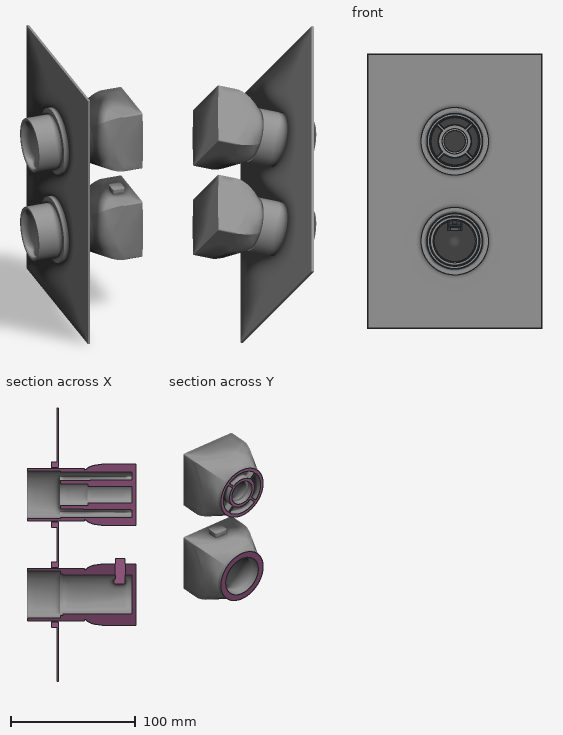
import cadquery as cq
import math


PLATE_WIDTH = 140.0
PLATE_HEIGHT = 220.0
PLATE_THICKNESS = 2.0
COLLAR_RADIUS = 27.0
COLLAR_THICKNESS = 4.2
COLLAR_FRONT_Y = 19.4
COLLAR_CLEARANCE = 0.5
PLATE_FRONT_Y = COLLAR_FRONT_Y + COLLAR_THICKNESS

HANDLE_SPACING = 80.0
UPPER_Z = HANDLE_SPACING / 2
LOWER_Z = -HANDLE_SPACING / 2
TUBE_RADIUS = 22.0
TUBE_LENGTH = 46.2
BORE_RADIUS = 19.5
MOUTH_CHAMFER = 0.7
HEAD_SIDE = 50.0
HEAD_CORNER_RADIUS = 1.0
HANDLE_LENGTH = 87.5
HEAD_CROWN = 0.2
END_WALL = 3.5
CAVITY_END_Y = HANDLE_LENGTH - END_WALL

SHOULDER_LENGTH = 28.4
NECK_RADIUS = 20.7
SHOULDER_SECTIONS = 11
SIDE_BULGE = 0.05
FLAT_SHARE = 0.41
CORNER_POWER = 2
SIDE_POWER = 6

HUB_RADIUS = 13.0
HUB_DRAFT = 0.5
HUB_BORE_RADIUS = 10.1
HUB_HOLE_RADIUS = 8.5
HUB_BORE_DEPTH = 22.0
HUB_FRONT_Y = 26.5
HUB_CAVITY_RADIUS = 19.0
RIB_FRONT_WIDTH = 1.8
RIB_BACK_WIDTH = 2.6
RIB_COUNT = 4
RIB_START_ANGLE = 45

STEP_Y = 26.5
STEP_RADIUS = 17.4
CAVITY_RADIUS = 16.5
STEP_LENGTH = 2.2

BUTTON_WIDTH = 11.5
BUTTON_LENGTH = 10.1
BUTTON_FRONT_Y = 69.5
BUTTON_CHAMFER = 1.0
BUTTON_BOTTOM = 8.4
BUTTON_RISE = 4.2
BUTTON_HEIGHT = HEAD_SIDE / 2 + BUTTON_RISE - BUTTON_BOTTOM
FOOT_REACH = 1.3
FOOT_HEIGHT = 4.5
FOOT_NOTCH_WIDTH = 7.0
FOOT_NOTCH_HEIGHT = 2.5
WINDOW_WIDTH = 4.0
WINDOW_HEIGHT = 3.5
WINDOW_RISE = 5.5
WINDOW_DEPTH = 2.2


def cylinder(radius, start_y, end_y):
    """Solid cylinder on the Y axis."""
    return cq.Workplane("XZ", origin=(0, start_y, 0)).circle(radius).extrude(start_y - end_y)


def square_prism(start_y, end_y):
    """Square bar on the Y axis with rounded long edges."""
    bar = cq.Workplane("XZ", origin=(0, start_y, 0)).rect(HEAD_SIDE, HEAD_SIDE).extrude(start_y - end_y)
    return bar.edges("|Y").fillet(HEAD_CORNER_RADIUS)


def shoulder_section(share):
    """Four-arc outline of the shoulder: share 0 is at the square head, 1 at the round neck."""
    neck_corner = NECK_RADIUS * math.sqrt(0.5)
    corner_drop = HEAD_SIDE / 2 - neck_corner
    corner = HEAD_SIDE / 2 - corner_drop * share**CORNER_POWER
    bulge = max(0, SIDE_BULGE + corner_drop * share * (FLAT_SHARE - share))
    middle = HEAD_SIDE / 2 + bulge - (HEAD_SIDE / 2 - NECK_RADIUS) * share**SIDE_POWER
    y = TUBE_LENGTH + SHOULDER_LENGTH * (1 - share)
    outline = (
        cq.Workplane("XZ", origin=(0, y, 0))
        .moveTo(corner, -corner)
        .threePointArc((middle, 0), (corner, corner))
        .threePointArc((0, middle), (-corner, corner))
        .threePointArc((-middle, 0), (-corner, -corner))
        .threePointArc((0, -middle), (corner, -corner))
        .close()
    )
    return outline.val()


def make_shoulder():
    shares = [1 - index / (SHOULDER_SECTIONS - 1) for index in range(SHOULDER_SECTIONS)]
    loft = cq.Workplane(cq.Solid.makeLoft([shoulder_section(share) for share in shares]))
    return loft.intersect(square_prism(TUBE_LENGTH, TUBE_LENGTH + SHOULDER_LENGTH))


def make_head():
    """Square head whose end face is curved about an axis along X."""
    start_y = TUBE_LENGTH + SHOULDER_LENGTH
    edge_y = HANDLE_LENGTH - HEAD_CROWN
    half = HEAD_SIDE / 2
    crowned = (
        cq.Workplane("YZ")
        .moveTo(start_y, -half)
        .lineTo(edge_y, -half)
        .threePointArc((HANDLE_LENGTH, 0), (edge_y, half))
        .lineTo(start_y, half)
        .close()
        .extrude(half, both=True)
    )
    return crowned.intersect(square_prism(start_y, HANDLE_LENGTH))


def make_handle_blank():
    """Handle on the Y axis without its cavity."""
    tube = cylinder(TUBE_RADIUS, 0, TUBE_LENGTH)
    return tube.union(make_shoulder()).union(make_head())


def make_rib():
    """Rib along +X from the axis to the cavity wall, thicker towards the closed end."""
    length = CAVITY_END_Y - HUB_FRONT_Y
    return (
        cq.Workplane("YZ", origin=(0, HUB_FRONT_Y, 0))
        .moveTo(0, -RIB_FRONT_WIDTH / 2)
        .lineTo(length, -RIB_BACK_WIDTH / 2)
        .lineTo(length, RIB_BACK_WIDTH / 2)
        .lineTo(0, RIB_FRONT_WIDTH / 2)
        .close()
        .extrude(HUB_CAVITY_RADIUS)
    )


def make_hub():
    """Hollow drafted hub carried by radial ribs."""
    hub = (
        cq.Workplane("XZ", origin=(0, HUB_FRONT_Y, 0))
        .circle(HUB_RADIUS)
        .extrude(HUB_FRONT_Y - CAVITY_END_Y, taper=-HUB_DRAFT)
    )
    rib = make_rib()
    for index in range(RIB_COUNT):
        angle = RIB_START_ANGLE + index * 360 / RIB_COUNT
        hub = hub.union(rib.rotate((0, 0, 0), (0, 1, 0), angle))
    hub = hub.cut(cylinder(HUB_BORE_RADIUS, HUB_FRONT_Y, HUB_FRONT_Y + HUB_BORE_DEPTH))
    return hub.cut(cylinder(HUB_HOLE_RADIUS, HUB_FRONT_Y, CAVITY_END_Y))


def make_bore(end_y):
    """Bore with a flared mouth, open at the front end of the tube."""
    return (
        cq.Workplane("XY")
        .lineTo(BORE_RADIUS + MOUTH_CHAMFER, 0)
        .lineTo(BORE_RADIUS, MOUTH_CHAMFER)
        .lineTo(BORE_RADIUS, end_y)
        .lineTo(0, end_y)
        .close()
        .revolve(360, (0, 0), (0, 1))
    )


def make_upper_handle():
    hub_space = cylinder(HUB_CAVITY_RADIUS, HUB_FRONT_Y, CAVITY_END_Y).cut(make_hub())
    cavity = make_bore(HUB_FRONT_Y).union(hub_space)
    return make_handle_blank().cut(cavity).translate((0, 0, UPPER_Z))


def button_block(length, front_y, width, height, bottom):
    """Upright box whose underside sits at the given height above the handle axis."""
    box = cq.Workplane("XY").box(width, length, height, centered=(True, False, False))
    return box.translate((0, front_y, bottom))


def make_button():
    """Chamfered block with a notched foot reaching forward and a blind window above the foot."""
    foot_front_y = BUTTON_FRONT_Y - FOOT_REACH
    block = button_block(BUTTON_LENGTH, BUTTON_FRONT_Y, BUTTON_WIDTH, BUTTON_HEIGHT, BUTTON_BOTTOM)
    block = block.edges("|Z").chamfer(BUTTON_CHAMFER)
    foot = button_block(BUTTON_LENGTH, foot_front_y, BUTTON_WIDTH, FOOT_HEIGHT, BUTTON_BOTTOM)
    foot = foot.edges("|Z").chamfer(BUTTON_CHAMFER).faces("<Y").edges(">Z").chamfer(BUTTON_CHAMFER)
    notch = button_block(FOOT_REACH, foot_front_y, FOOT_NOTCH_WIDTH, FOOT_NOTCH_HEIGHT, BUTTON_BOTTOM)
    window = button_block(
        WINDOW_DEPTH, BUTTON_FRONT_Y, WINDOW_WIDTH, WINDOW_HEIGHT, BUTTON_BOTTOM + WINDOW_RISE
    )
    return block.union(foot).cut(notch).cut(window).translate((0, 0, LOWER_Z))


def make_lower_handle(button):
    cavity = make_bore(STEP_Y)
    cavity = cavity.union(cylinder(STEP_RADIUS, STEP_Y, STEP_Y + STEP_LENGTH))
    cavity = cavity.union(cylinder(CAVITY_RADIUS, STEP_Y + STEP_LENGTH, CAVITY_END_Y))
    return make_handle_blank().cut(cavity).translate((0, 0, LOWER_Z)).cut(button)


def make_plate():
    plate = (
        cq.Workplane("XY")
        .box(PLATE_WIDTH, PLATE_THICKNESS, PLATE_HEIGHT, centered=(True, False, True))
        .translate((0, PLATE_FRONT_Y, 0))
    )
    hole_radius = TUBE_RADIUS + COLLAR_CLEARANCE
    back_y = PLATE_FRONT_Y + PLATE_THICKNESS
    for z in (UPPER_Z, LOWER_Z):
        plate = plate.union(cylinder(COLLAR_RADIUS, COLLAR_FRONT_Y, PLATE_FRONT_Y).translate((0, 0, z)))
        plate = plate.cut(cylinder(hole_radius, COLLAR_FRONT_Y, back_y).translate((0, 0, z)))
    return plate


plate = make_plate()
upper_handle = make_upper_handle()
button = make_button()
lower_handle = make_lower_handle(button)

result = cq.Compound.makeCompound([plate.val(), upper_handle.val(), lower_handle.val(), button.val()])